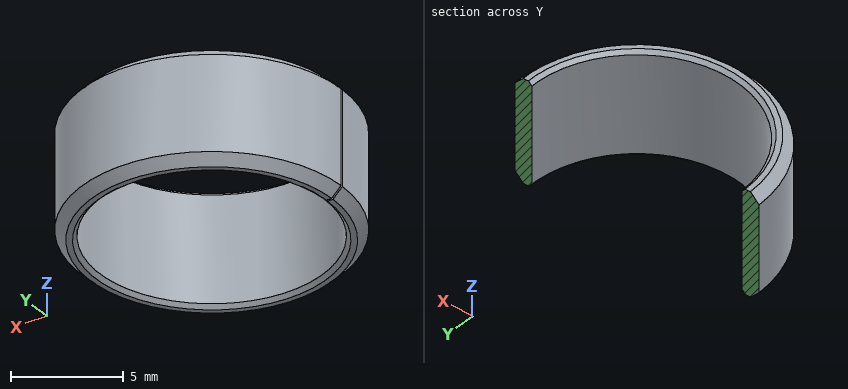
import cadquery as cq

outer_diameter = 14.0
inner_diameter = 12.0
width = 6.0
outer_chamfer = 0.5
bore_chamfer = 0.2
slit_width = 0.1

outer_radius = outer_diameter / 2
inner_radius = inner_diameter / 2


def make_ring():
    """Revolve the wall section, with its four chamfered corners, around Z from the -X side."""
    section = [
        (-inner_radius, bore_chamfer),
        (-inner_radius - bore_chamfer, 0),
        (-outer_radius + outer_chamfer, 0),
        (-outer_radius, outer_chamfer),
        (-outer_radius, width - outer_chamfer),
        (-outer_radius + outer_chamfer, width),
        (-inner_radius - bore_chamfer, width),
        (-inner_radius, width - bore_chamfer),
    ]
    return cq.Workplane("XZ").polyline(section).close().revolve(360, (0, 0, 0), (0, 1, 0))


def make_slit():
    """Thin cutter from the axis to the -X side, with its lower face on the XZ plane."""
    cutter = cq.Workplane("XY").box(outer_radius, slit_width, width, centered=False)
    return cutter.translate((-outer_radius, 0, 0))


result = make_ring().cut(make_slit())